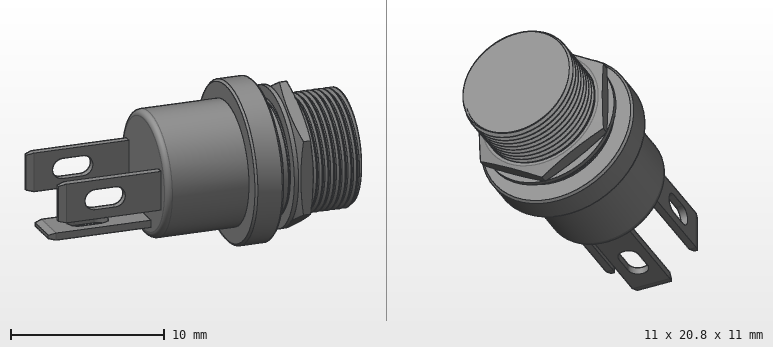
import cadquery as cq
import math


FLANGE_DIAMETER = 11.0
FLANGE_LENGTH = 2.0
FLANGE_CHAMFER = 0.15
REAR_DIAMETER = 8.5
REAR_LENGTH = 5.73
REAR_FILLET = 0.4
NECK_DIAMETER = 7.73
BARB_DIAMETER = 8.5
BARB_START = 0.17
BARB_RIM = 0.13
BARB_TAPER = 0.21
FRONT_LENGTH = 5.97

THREAD_DIAMETER = 7.94
THREAD_ROOT_DIAMETER = 7.51
THREAD_PITCH = 0.4
THREAD_FLANK_ANGLE = 30.0
THREAD_ROOT_WIDTH = 0.1
THREAD_LEAD_IN = 0.255
THREAD_TURNS = 13.75
GROOVE_OVERCUT = 0.02

NUT_ACROSS_CORNERS = 10.25
NUT_THICKNESS = 1.0
NUT_CORNER_THICKNESS = 0.5
NUT_CHAMFER_ANGLE = 15.0
NUT_MID_Y = 1.97

WASHER_DIAMETER = 9.5
WASHER_THICKNESS = 0.3
WASHER_REAR_Y = 0.97

TERMINAL_LENGTH = 7.1
TERMINAL_WIDTH = 2.7
TERMINAL_THICKNESS = 0.5
TERMINAL_OFFSET = 3.0
TERMINAL_ANGLES = (0, 90, 180)
TIP_LENGTH = 0.5
TIP_INSET = 0.13
SLOT_WIDTH = 1.4
SLOT_LENGTH = 2.8
SLOT_CENTER_FROM_TIP = 3.2

FLANGE_REAR_Y = -FLANGE_LENGTH
HOUSING_REAR_Y = FLANGE_REAR_Y - REAR_LENGTH


def cylinder(diameter, rear_y, length):
    """A round bar along Y, from rear_y towards +Y."""
    return cq.Workplane("XZ", origin=(0, rear_y, 0)).circle(diameter / 2).extrude(-length)


def revolved(radius_y_points):
    """Turn a closed outline of (radius, y) points about the Y axis."""
    return cq.Workplane("XY").polyline(radius_y_points).close().revolve(360, (0, 0, 0), (0, 1, 0))


def make_thread_groove():
    """Right-handed helical groove, running from just outside the front end towards the flange."""
    root_radius = THREAD_ROOT_DIAMETER / 2
    outer_radius = THREAD_DIAMETER / 2 + GROOVE_OVERCUT
    root_half_width = THREAD_ROOT_WIDTH / 2
    flank_run = (outer_radius - root_radius) * math.tan(math.radians(THREAD_FLANK_ANGLE))
    outer_half_width = root_half_width + flank_run
    helix = cq.Wire.makeHelix(THREAD_PITCH, THREAD_PITCH * THREAD_TURNS, root_radius)
    groove = (
        cq.Workplane("XZ")
        .polyline(
            [
                (root_radius, -root_half_width),
                (outer_radius, -outer_half_width),
                (outer_radius, outer_half_width),
                (root_radius, root_half_width),
            ]
        )
        .close()
        .sweep(cq.Workplane(helix), isFrenet=True)
    )
    return groove.rotate((0, 0, 0), (1, 0, 0), 90).translate((0, FRONT_LENGTH + THREAD_LEAD_IN, 0))


def make_housing():
    flange = cylinder(FLANGE_DIAMETER, FLANGE_REAR_Y, FLANGE_LENGTH).edges().chamfer(FLANGE_CHAMFER)
    rear = cylinder(REAR_DIAMETER, HOUSING_REAR_Y, REAR_LENGTH).faces("<Y").edges().fillet(REAR_FILLET)
    neck = cylinder(NECK_DIAMETER, 0, BARB_START)

    barb_radius = BARB_DIAMETER / 2
    thread_radius = THREAD_DIAMETER / 2
    rim_front_y = BARB_START + BARB_RIM
    barb_front_y = rim_front_y + BARB_TAPER
    barb = revolved(
        [
            (0, BARB_START),
            (barb_radius, BARB_START),
            (barb_radius, rim_front_y),
            (thread_radius, barb_front_y),
            (0, barb_front_y),
        ]
    )
    stem = cylinder(THREAD_DIAMETER, barb_front_y, FRONT_LENGTH - barb_front_y)
    return flange.union(rear).union(neck).union(barb).union(stem).cut(make_thread_groove())


def make_nut():
    """Hex nut with two corners on the Z axis, both faces chamfered by shallow cones."""
    corner_radius = NUT_ACROSS_CORNERS / 2
    half_thickness = NUT_THICKNESS / 2
    half_corner = NUT_CORNER_THICKNESS / 2
    face_radius = corner_radius - (half_thickness - half_corner) / math.tan(math.radians(NUT_CHAMFER_ANGLE))
    hexagon = (
        cq.Workplane("XZ", origin=(0, -half_thickness, 0))
        .transformed(rotate=(0, 0, 90))
        .polygon(6, NUT_ACROSS_CORNERS)
        .extrude(-NUT_THICKNESS)
    )
    chamfer_envelope = revolved(
        [
            (0, -half_thickness),
            (face_radius, -half_thickness),
            (corner_radius, -half_corner),
            (corner_radius, half_corner),
            (face_radius, half_thickness),
            (0, half_thickness),
        ]
    )
    bore = cylinder(THREAD_DIAMETER, -half_thickness, NUT_THICKNESS)
    return hexagon.intersect(chamfer_envelope).cut(bore).translate((0, NUT_MID_Y, 0))


def make_washer():
    disc = cylinder(WASHER_DIAMETER, WASHER_REAR_Y, WASHER_THICKNESS)
    return disc.cut(cylinder(THREAD_DIAMETER, WASHER_REAR_Y, WASHER_THICKNESS))


def make_terminal(angle):
    """Flat slotted blade with a tapered tip; angle turns it about Y from its place on the +X side."""
    blade_length = TERMINAL_LENGTH - TIP_LENGTH
    blade = cq.Workplane("XZ", origin=(0, HOUSING_REAR_Y, 0)).rect(TERMINAL_THICKNESS, TERMINAL_WIDTH)
    blade = blade.extrude(blade_length)
    tip = (
        cq.Workplane("XZ", origin=(0, HOUSING_REAR_Y - blade_length, 0))
        .rect(TERMINAL_THICKNESS, TERMINAL_WIDTH)
        .workplane(offset=TIP_LENGTH)
        .rect(TERMINAL_THICKNESS - 2 * TIP_INSET, TERMINAL_WIDTH - 2 * TIP_INSET)
        .loft(ruled=True)
    )
    slot_y = HOUSING_REAR_Y - TERMINAL_LENGTH + SLOT_CENTER_FROM_TIP
    slot = (
        cq.Workplane("YZ")
        .center(slot_y, 0)
        .slot2D(SLOT_LENGTH, SLOT_WIDTH)
        .extrude(TERMINAL_THICKNESS, both=True)
    )
    terminal = blade.union(tip).cut(slot).translate((TERMINAL_OFFSET, 0, 0))
    return terminal.rotate((0, 0, 0), (0, 1, 0), angle)


housing = make_housing()
nut = make_nut()
washer = make_washer()
terminals = [make_terminal(angle).val() for angle in TERMINAL_ANGLES]

result = cq.Compound.makeCompound([housing.val(), nut.val(), washer.val(), *terminals])